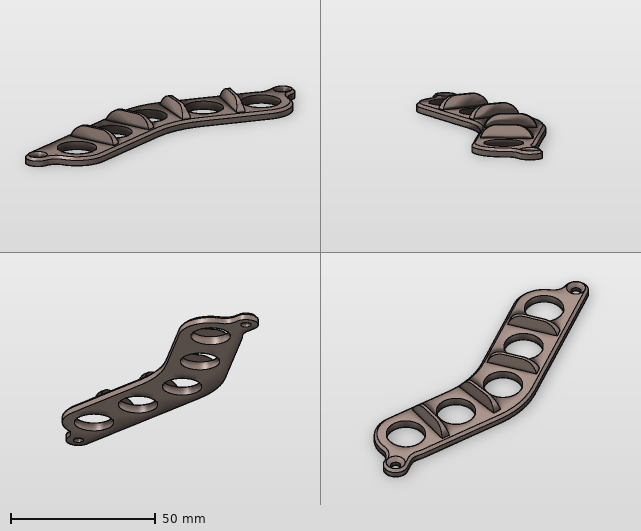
import cadquery as cq
import math

half_width = 11.03
plate_thickness = 3.0
edge_chamfer = 1.0
bend_angle = math.radians(36.0)
bend_radius = 30.5
corner_y = 46.5

hole_diameter = 13.6
hole_pitch = 21.15
corner_to_fourth_hole = 18.0
corner_to_fifth_hole = 39.0

boss_radius = 4.3
boss_fillet = 5.0
lower_boss = (boss_radius - half_width, -13.94)
upper_boss_offset = (-1.7, 15.26)
screw_diameter = 3.5
countersink_diameter = 6.5

divider_length = 18.2
divider_height = 4.5
divider_base_width = 3.0
divider_top_width = 1.15
divider_foot = 0.6
divider_end_radius = 6.0
bend_divider = 2
bend_divider_shift = 0.25


def along_upper_leg(distance):
    """Point on the leaning centre line, measured from the corner."""
    return (distance * math.sin(bend_angle), corner_y + distance * math.cos(bend_angle))


def between(start, end, fraction):
    """Point at a fraction of the way from start to end."""
    return tuple(a + (b - a) * fraction for a, b in zip(start, end))


def fillet_centre(first, first_reach, second, second_reach):
    """Point at the two given distances, on the right of the way from first to second."""
    gap = math.dist(first, second)
    along = (gap**2 + first_reach**2 - second_reach**2) / (2 * gap)
    aside = math.sqrt(first_reach**2 - along**2)
    ux = (second[0] - first[0]) / gap
    uy = (second[1] - first[1]) / gap
    return (first[0] + along * ux + aside * uy, first[1] + along * uy - aside * ux)


holes = [
    (0, 0),
    (0, hole_pitch),
    (0, 2 * hole_pitch),
    along_upper_leg(corner_to_fourth_hole),
    along_upper_leg(corner_to_fifth_hole),
]
lower_lobe = holes[0]
upper_lobe = holes[-1]
upper_boss = (upper_lobe[0] + upper_boss_offset[0], upper_lobe[1] + upper_boss_offset[1])
bosses = [lower_boss, upper_boss]


def bend_ends(side):
    """Tangent points of the bend on one edge of the strip: -1 is the left edge, 1 the right."""
    edge_corner_y = corner_y - side * half_width * math.tan(bend_angle / 2)
    reach = bend_radius * math.tan(bend_angle / 2)
    lower = (side * half_width, edge_corner_y - reach)
    upper = (
        side * half_width + reach * math.sin(bend_angle),
        edge_corner_y + reach * math.cos(bend_angle),
    )
    return lower, upper


def upper_lobe_edge(side):
    """Where the round end of the leaning leg meets its left (-1) or right (1) edge."""
    return (
        upper_lobe[0] + side * half_width * math.cos(bend_angle),
        upper_lobe[1] - side * half_width * math.sin(bend_angle),
    )


def make_plate():
    lobe_reach = half_width + boss_fillet
    boss_reach = boss_radius + boss_fillet
    lobe_share = half_width / lobe_reach
    boss_share = boss_radius / boss_reach

    left_low, left_high = bend_ends(-1)
    right_low, right_high = bend_ends(1)

    neck_x = upper_boss[0] - boss_radius
    neck_centre_x = neck_x - boss_fillet
    neck_rise = math.sqrt(lobe_reach**2 - (upper_lobe[0] - neck_centre_x) ** 2)
    neck_centre = (neck_centre_x, upper_lobe[1] + neck_rise)

    upper_fillet = fillet_centre(upper_lobe, lobe_reach, upper_boss, boss_reach)
    lower_fillet = fillet_centre(lower_boss, boss_reach, lower_lobe, lobe_reach)

    outline = (
        cq.Workplane("XY")
        .moveTo(-half_width, lower_boss[1])
        .lineTo(*left_low)
        .tangentArcPoint(left_high, relative=False)
        .lineTo(*upper_lobe_edge(-1))
        .tangentArcPoint(between(upper_lobe, neck_centre, lobe_share), relative=False)
        .tangentArcPoint((neck_x, neck_centre[1]), relative=False)
        .lineTo(neck_x, upper_boss[1])
        .tangentArcPoint(between(upper_boss, upper_fillet, boss_share), relative=False)
        .tangentArcPoint(between(upper_lobe, upper_fillet, lobe_share), relative=False)
        .tangentArcPoint(upper_lobe_edge(1), relative=False)
        .lineTo(*right_high)
        .tangentArcPoint(right_low, relative=False)
        .lineTo(half_width, lower_lobe[1])
        .tangentArcPoint(between(lower_lobe, lower_fillet, lobe_share), relative=False)
        .tangentArcPoint(between(lower_boss, lower_fillet, boss_share), relative=False)
        .tangentArcPoint((-half_width, lower_boss[1]), relative=False)
        .close()
    )
    return outline.extrude(plate_thickness).faces(">Z").chamfer(edge_chamfer)


def make_divider(before, after, outward_shift):
    """Tapered wall with round shoulders, square to the line between two holes."""
    half_base = divider_base_width / 2
    half_top = divider_top_width / 2
    half_length = divider_length / 2
    shoulder = math.sqrt(divider_end_radius**2 - (divider_end_radius - divider_height) ** 2)
    flat_end = half_length - shoulder

    wall = (
        cq.Workplane("YZ")
        .moveTo(-half_base, 0)
        .lineTo(half_base, 0)
        .lineTo(half_base, divider_foot)
        .lineTo(half_top, divider_height)
        .lineTo(-half_top, divider_height)
        .lineTo(-half_base, divider_foot)
        .close()
        .extrude(half_length, both=True)
    )
    shape = (
        cq.Workplane("XZ")
        .moveTo(-half_length, 0)
        .lineTo(half_length, 0)
        .radiusArc((flat_end, divider_height), -divider_end_radius)
        .lineTo(-flat_end, divider_height)
        .radiusArc((-half_length, 0), -divider_end_radius)
        .close()
        .extrude(divider_base_width, both=True)
    )
    centre = between(before, after, 0.5)
    turn = math.degrees(math.atan2(after[1] - before[1], after[0] - before[0])) - 90
    return (
        wall.intersect(shape)
        .translate((-outward_shift, 0, 0))
        .rotate((0, 0, 0), (0, 0, 1), turn)
        .translate((centre[0], centre[1], plate_thickness))
    )


def make_large_holes():
    return cq.Workplane("XY").pushPoints(holes).circle(hole_diameter / 2).extrude(plate_thickness)


def make_screw_holes():
    """Through holes with conical countersinks open at the top face."""
    countersink_depth = (countersink_diameter - screw_diameter) / 2
    tools = cq.Workplane("XY").pushPoints(bosses).circle(screw_diameter / 2).extrude(plate_thickness)
    cone = cq.Solid.makeCone(
        screw_diameter / 2,
        countersink_diameter / 2,
        countersink_depth,
        cq.Vector(0, 0, plate_thickness - countersink_depth),
    )
    for x, y in bosses:
        tools = tools.union(cq.Workplane(cone.translate(cq.Vector(x, y, 0))))
    return tools


result = make_plate().cut(make_large_holes()).cut(make_screw_holes())
for index, (before, after) in enumerate(zip(holes, holes[1:])):
    outward_shift = bend_divider_shift if index == bend_divider else 0
    result = result.union(make_divider(before, after, outward_shift))